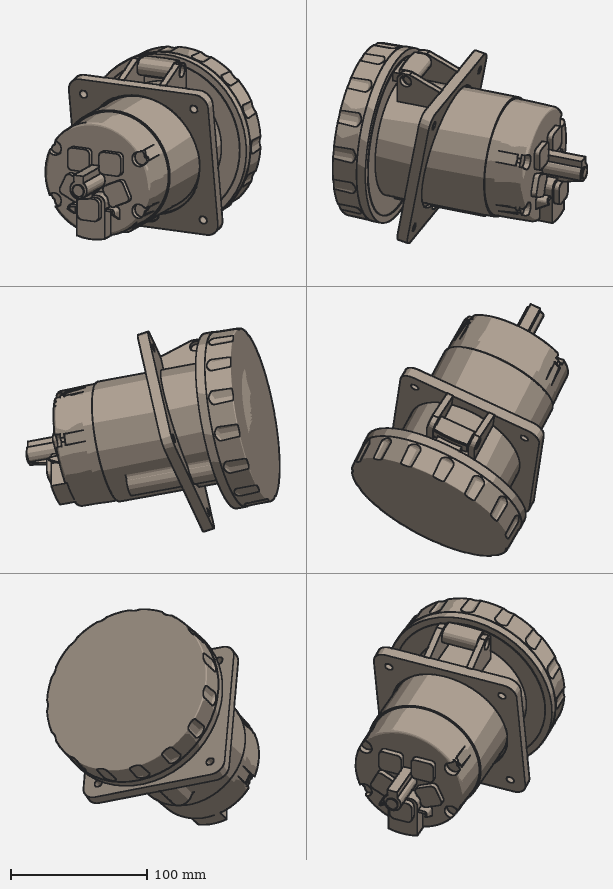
import cadquery as cq
import math


LID_DIAMETER = 130.8
GRIP_FRONT_RADIUS = 65.2
GRIP_BACK_RADIUS = 64.6
CROWN_RADIUS = 35.0
LID_BACK = 1.2
GRIP_FRONT = 20.7
LID_FRONT = 27.7
GRIP_EDGE_FILLET = 0.9
LID_RECESS_RADIUS = 59.9
LID_RECESS_DEPTH = 0.5
GROOVE_COUNT = 15
GROOVE_RADIUS = 10.5
GROOVE_SINK = 1.2
GROOVE_BEND_START = 15.5
GROOVE_BEND_END = 17.3
GROOVE_BEND_RISE = 0.44
GROOVE_END = 19.6
GROOVE_END_RISE = 2.0

BODY_RADIUS = 44.8
BODY_FRONT = 113.1
COLLAR_RADIUS = 43.6
COLLAR_FRONT = 121.0
CAP_FRONT_RADIUS = 42.9
CAP_FRONT = 143.8
CAP_FILLET = 2.6

SEAT_ANGLES = (30, 150, 210, 330)
SEAT_PITCH_RADIUS = 39.8
SEAT_RADIUS = 5.5
SEAT_DEPTH = 4.7
SLOT_WIDTH = 8.4
SLOT_FLOOR = 41.9
SLOT_FRONT = 136.0
SHANK_RADIUS = 2.3
SHANK_PITCH_RADIUS = 44.7

RIB_FRONT = 97.4
RIB_TIP = 52.2
RIB_NECK = (8.2, 46.8)
RIB_ROOT_HALF = 13.0
RIB_ROOT_BLEND = (10.2, 44.0)

PLATE_SIDE = 113.8
PLATE_THICKNESS = 8.0
PLATE_TILT = 10.0
PLATE_DEPTH = 62.0
PLATE_DROP = 2.3
PLATE_CORNER = 10.0
PLATE_HOLE_PITCH = 90.0
PLATE_HOLE_RADIUS = 3.0
RELIEF_DEPTH = 2.6
RELIEF_HALF_WIDTH = 46.0
RELIEF_HALF_HEIGHT = 48.2
RELIEF_RISE = 2.0
RELIEF_RIB_RADIUS = 9.3
RELIEF_RIB_DROP = 43.3

HINGE_TOP = 64.6
CHEEK_INNER = 14.5
CHEEK_OUTER = 19.5
CHEEK_BACK = 34.3
CHEEK_BOTTOM = 38.5
CHEEK_TOP_FRONT = 44.3
CHEEK_TOE = (68.3, 54.6)
CHEEK_CORNER = 6.1
PIN_HOLE_RADIUS = 4.4
PIN_HOLE_DEPTH = 41.2
PIN_HOLE_HEIGHT = 58.7
PIN_RADIUS = 3.7
PIN_OFFSET = 0.9
PIN_SINK = 2.6
KNUCKLE_HALF = 13.8
KNUCKLE_RADIUS = 6.3
KNUCKLE_CENTRE_DEPTH = 41.9
KNUCKLE_BACK = 33.1
KNUCKLE_BOW = 0.9
KNUCKLE_CHAMFER = 0.9
ARM_HALF = 9.8
ARM_TOP = 58.3
ARM_BOTTOM = 51.3

PAD_WIDTH = 17.7
PAD_HEIGHT = 17.0
PAD_FILLET = 3.3
BLOCK_PAD_FILLET = 4.0
PAD_RISE = 4.2
TOP_PAD = (12.8, 14.5)
SIDE_PAD = (17.7, -7.7)
SIDE_PAD_TURN = 25.0

BLOCK_WIDTH = 23.0
BLOCK_TOP = -8.8
BLOCK_CORNER = 5.3
BLOCK_FRONT = 154.0
BLOCK_PAD_Z = -19.1

HOOK_HALF_SPAN = 19.0
HOOK_TOP = -18.7
HOOK_WALL = 1.4
HOOK_BOTTOM = -27.8
HOOK_CORNER = 2.6
HOOK_SHOULDER = 152.0
HOOK_TIP_HEIGHT = -22.0

STEM_RADIUS = 6.8
STEM_FRONT = 174.1
KEY_WIDTH = 7.9
KEY_TOP = 10.9
TIP_RADIUS = 4.5
TIP_FRONT = 175.1
TIP_DROP = 0.5
WEB_WIDTH = 2.6
WEB_FOOT = (158.2, -10.9)


def plane_at(depth):
    """Plane across the axis, with its normal pointing forward."""
    return cq.Workplane("XZ", origin=(0, -depth, 0))


def disc(radius, start, end, x=0, z=0):
    return plane_at(start).center(x, z).circle(radius).extrude(end - start)


def spin(profile):
    """Revolve a closed half profile in the XY plane about the Y axis."""
    return profile.revolve(360, (0, 0, 0), (0, 1, 0))


def frustum(back_radius, front_radius, start, end):
    half = [(0, -start), (back_radius, -start), (front_radius, -end), (0, -end)]
    return spin(cq.Workplane("XY").polyline(half).close())


def side_profile(points, half_width):
    """Prism centred on X = 0 from points given as (depth, height)."""
    outline = [(-depth, height) for depth, height in points]
    return cq.Workplane("YZ").polyline(outline).close().extrude(half_width, both=True)


def make_groove_cutter():
    """Round cutter, centred on the Y axis, that narrows at its front end."""
    return spin(
        cq.Workplane("XY")
        .lineTo(GROOVE_RADIUS, 0)
        .lineTo(GROOVE_RADIUS, -GROOVE_BEND_START)
        .tangentArcPoint((GROOVE_RADIUS - GROOVE_BEND_RISE, -GROOVE_BEND_END), relative=False)
        .lineTo(GROOVE_RADIUS - GROOVE_END_RISE, -GROOVE_END)
        .lineTo(0, -GROOVE_END)
        .close()
    )


def make_crown():
    sphere_radius = (CROWN_RADIUS**2 + LID_BACK**2) / (2 * LID_BACK)
    mid_x = CROWN_RADIUS / 2
    mid_sag = sphere_radius - math.sqrt(sphere_radius**2 - mid_x**2)
    return spin(
        cq.Workplane("XY")
        .threePointArc((mid_x, -mid_sag), (CROWN_RADIUS, -LID_BACK))
        .lineTo(0, -LID_BACK)
        .close()
    )


def make_lid():
    flange = disc(LID_DIAMETER / 2, GRIP_FRONT, LID_FRONT)
    grip = (
        frustum(GRIP_BACK_RADIUS, GRIP_FRONT_RADIUS, LID_BACK, GRIP_FRONT)
        .faces(">Y").edges().fillet(GRIP_EDGE_FILLET)
    )
    groove_centre = GRIP_BACK_RADIUS - GROOVE_SINK + GROOVE_RADIUS
    groove = make_groove_cutter().translate((groove_centre, 0, 0))
    for index in range(GROOVE_COUNT):
        grip = grip.cut(groove.rotate((0, 0, 0), (0, 1, 0), index * 360 / GROOVE_COUNT))
    recess = disc(LID_RECESS_RADIUS, LID_FRONT - LID_RECESS_DEPTH, LID_FRONT)
    return flange.cut(recess).union(grip).union(make_crown())


def make_body():
    body = disc(BODY_RADIUS, GRIP_FRONT, BODY_FRONT)
    collar = disc(COLLAR_RADIUS, BODY_FRONT, COLLAR_FRONT)
    return body.union(collar).union(make_cap())


def make_cap():
    cap = (
        frustum(COLLAR_RADIUS, CAP_FRONT_RADIUS, COLLAR_FRONT, CAP_FRONT)
        .faces("<Y").edges().fillet(CAP_FILLET)
    )
    seat_back = CAP_FRONT - SEAT_DEPTH
    seat = disc(SEAT_RADIUS, seat_back, CAP_FRONT, x=SEAT_PITCH_RADIUS)
    shank = disc(SHANK_RADIUS, SLOT_FRONT, seat_back, x=SHANK_PITCH_RADIUS)
    slot = (
        plane_at(COLLAR_FRONT)
        .center(BODY_RADIUS / 2, 0)
        .rect(BODY_RADIUS, SLOT_WIDTH)
        .extrude(SLOT_FRONT - COLLAR_FRONT)
    )
    slot = slot.cut(frustum(COLLAR_RADIUS, SLOT_FLOOR, COLLAR_FRONT, SLOT_FRONT))
    pocket = seat.union(shank).union(slot)
    for angle in SEAT_ANGLES:
        cap = cap.cut(pocket.rotate((0, 0, 0), (0, 1, 0), angle))
    return cap


def make_rib():
    root_drop = math.sqrt(BODY_RADIUS**2 - RIB_ROOT_HALF**2)
    neck_x, neck_drop = RIB_NECK
    blend_x, blend_drop = RIB_ROOT_BLEND
    return (
        plane_at(GRIP_FRONT)
        .moveTo(-RIB_ROOT_HALF, -root_drop)
        .threePointArc((-blend_x, -blend_drop), (-neck_x, -neck_drop))
        .threePointArc((0, -RIB_TIP), (neck_x, -neck_drop))
        .threePointArc((blend_x, -blend_drop), (RIB_ROOT_HALF, -root_drop))
        .lineTo(0, 0)
        .close()
        .extrude(RIB_FRONT - GRIP_FRONT)
    )


def tilt_plate(shape):
    """Tip a shape built on the axis to the plate's angle and place."""
    return shape.rotate((0, 0, 0), (1, 0, 0), PLATE_TILT).translate((0, -PLATE_DEPTH, -PLATE_DROP))


def make_plate():
    half = PLATE_THICKNESS / 2
    plate = (
        plane_at(-half)
        .rect(PLATE_SIDE, PLATE_SIDE)
        .extrude(PLATE_THICKNESS)
        .edges("|Y").fillet(PLATE_CORNER)
        .faces("<Y").workplane(origin=(0, 0, 0))
        .rect(PLATE_HOLE_PITCH, PLATE_HOLE_PITCH, forConstruction=True)
        .vertices()
        .hole(2 * PLATE_HOLE_RADIUS)
    )
    floor = half - RELIEF_DEPTH
    relief = (
        plane_at(floor)
        .center(0, RELIEF_RISE)
        .ellipse(RELIEF_HALF_WIDTH, RELIEF_HALF_HEIGHT)
        .extrude(RELIEF_DEPTH)
    )
    rib_relief = disc(RELIEF_RIB_RADIUS, floor, half, z=-RELIEF_RIB_DROP)
    return tilt_plate(plate.cut(relief).cut(rib_relief))


def make_cheeks():
    profile = [
        (CHEEK_BACK, CHEEK_BOTTOM),
        (CHEEK_BACK, HINGE_TOP),
        (CHEEK_TOP_FRONT, HINGE_TOP),
        CHEEK_TOE,
        (CHEEK_TOE[0], CHEEK_BOTTOM),
    ]
    pair = side_profile(profile, CHEEK_OUTER)
    pair = pair.edges("|X").edges(">Z").edges(">Y").fillet(CHEEK_CORNER)
    pair = pair.cut(side_profile(profile, CHEEK_INNER))
    return pair.cut(cross_pin(PIN_HOLE_RADIUS, CHEEK_OUTER, PIN_HOLE_DEPTH))


def cross_pin(radius, half_length, depth):
    return (
        cq.Workplane("YZ")
        .center(-depth, PIN_HOLE_HEIGHT)
        .circle(radius)
        .extrude(half_length, both=True)
    )


def make_knuckle():
    axis_height = HINGE_TOP - KNUCKLE_RADIUS
    side = (
        cq.Workplane("YZ")
        .moveTo(-KNUCKLE_BACK, HINGE_TOP)
        .lineTo(-KNUCKLE_CENTRE_DEPTH, HINGE_TOP)
        .threePointArc(
            (-KNUCKLE_CENTRE_DEPTH - KNUCKLE_RADIUS, axis_height),
            (-KNUCKLE_CENTRE_DEPTH, axis_height - KNUCKLE_RADIUS),
        )
        .lineTo(-KNUCKLE_BACK, axis_height - KNUCKLE_RADIUS)
        .close()
        .extrude(KNUCKLE_HALF, both=True)
    )
    front = KNUCKLE_CENTRE_DEPTH + KNUCKLE_RADIUS
    side_back = KNUCKLE_BACK + KNUCKLE_BOW
    plan = (
        cq.Workplane("XY")
        .moveTo(-KNUCKLE_HALF, -front)
        .lineTo(-KNUCKLE_HALF, -side_back)
        .threePointArc((0, -KNUCKLE_BACK), (KNUCKLE_HALF, -side_back))
        .lineTo(KNUCKLE_HALF, -front)
        .close()
        .extrude(HINGE_TOP)
        .faces(">Z").edges(">Y").chamfer(KNUCKLE_CHAMFER)
    )
    arm = (
        plane_at(GRIP_FRONT)
        .center(0, (ARM_TOP + ARM_BOTTOM) / 2)
        .rect(2 * ARM_HALF, ARM_TOP - ARM_BOTTOM)
        .extrude(KNUCKLE_CENTRE_DEPTH - GRIP_FRONT)
    )
    pin = cross_pin(PIN_RADIUS, CHEEK_OUTER - PIN_SINK, PIN_HOLE_DEPTH + PIN_OFFSET)
    return side.intersect(plan).union(arm).union(pin)


def make_pad(x, z, start, end, turn=0, fillet=PAD_FILLET):
    return (
        plane_at(start)
        .transformed(offset=(x, z, 0), rotate=(0, 0, turn))
        .rect(PAD_WIDTH, PAD_HEIGHT)
        .extrude(end - start)
        .edges("|Y").fillet(fillet)
    )


def make_pads():
    front = CAP_FRONT + PAD_RISE
    pads = make_pad(0, BLOCK_PAD_Z, CAP_FRONT, BLOCK_FRONT + PAD_RISE, fillet=BLOCK_PAD_FILLET)
    for side in (-1, 1):
        pads = pads.union(make_pad(side * TOP_PAD[0], TOP_PAD[1], CAP_FRONT, front))
        pads = pads.union(make_pad(side * SIDE_PAD[0], SIDE_PAD[1], CAP_FRONT, front, side * SIDE_PAD_TURN))
    return pads


def make_earth_block():
    start = CAP_FRONT - CAP_FILLET
    block = (
        plane_at(start)
        .center(0, (BLOCK_TOP - COLLAR_RADIUS) / 2)
        .rect(BLOCK_WIDTH, COLLAR_RADIUS + BLOCK_TOP)
        .extrude(BLOCK_FRONT - start)
        .edges("|Y").edges(">Z").fillet(BLOCK_CORNER)
    )
    return block.intersect(disc(CAP_FRONT_RADIUS, start, BLOCK_FRONT))


def make_hooks():
    height = HOOK_TOP - HOOK_BOTTOM
    outer = (
        plane_at(CAP_FRONT)
        .center(0, (HOOK_TOP + HOOK_BOTTOM) / 2)
        .rect(2 * HOOK_HALF_SPAN, height)
        .extrude(BLOCK_FRONT - CAP_FRONT)
        .edges("|Y").edges(">Z").fillet(HOOK_CORNER)
    )
    inner = (
        plane_at(CAP_FRONT)
        .center(0, (HOOK_TOP + HOOK_BOTTOM) / 2 - HOOK_WALL)
        .rect(2 * (HOOK_HALF_SPAN - HOOK_WALL), height)
        .extrude(BLOCK_FRONT - CAP_FRONT)
        .edges("|Y").edges(">Z").fillet(HOOK_CORNER - HOOK_WALL)
    )
    taper = side_profile(
        [
            (CAP_FRONT, HOOK_TOP),
            (HOOK_SHOULDER, HOOK_TOP),
            (BLOCK_FRONT, HOOK_TIP_HEIGHT),
            (CAP_FRONT, HOOK_BOTTOM),
        ],
        HOOK_HALF_SPAN,
    )
    return outer.cut(inner).intersect(taper)


def make_stem():
    barrel = disc(STEM_RADIUS, CAP_FRONT, STEM_FRONT)
    tip = disc(TIP_RADIUS, STEM_FRONT, TIP_FRONT, z=-TIP_DROP)
    key = plane_at(CAP_FRONT).center(0, KEY_TOP / 2).rect(KEY_WIDTH, KEY_TOP).extrude(STEM_FRONT - CAP_FRONT)
    web = side_profile(
        [
            (CAP_FRONT, 0),
            (STEM_FRONT, 0),
            (STEM_FRONT, -STEM_RADIUS),
            WEB_FOOT,
            (CAP_FRONT, WEB_FOOT[1]),
        ],
        WEB_WIDTH / 2,
    )
    return barrel.union(tip).union(key).union(web)


result = make_lid()
for feature in (
    make_plate(),
    make_body(),
    make_rib(),
    make_cheeks(),
    make_knuckle(),
    make_earth_block(),
    make_hooks(),
    make_pads(),
    make_stem(),
):
    result = result.union(feature)